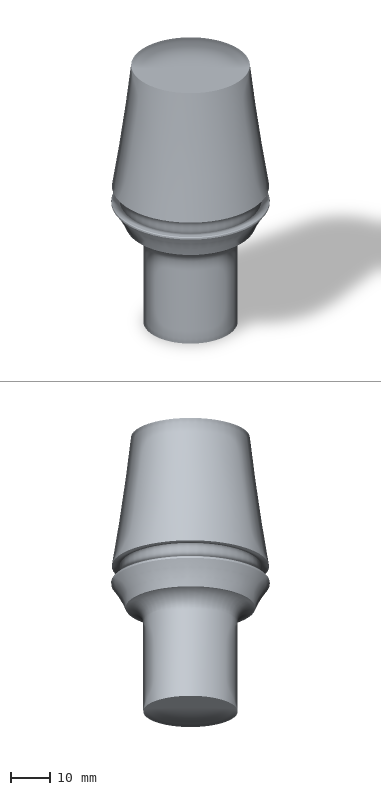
import cadquery as cq
import math

stem_radius = 24.1 / 2
fillet_radius = 4.0

shoulder_z = 28.0
rim_bottom_z = 34.4
collar_top_z = 35.0
head_bottom_z = 39.2
head_top_z = 74.0

shoulder_radius = 16.55
rim_radius = 40.45 / 2
rim_rounding = 0.2

groove_radius = 36.2 / 2
head_bottom_radius = 20.05
head_top_radius = 15.15

flare_bow = 0.28
head_bow = 0.25


def bowed_midpoint(upper, lower, bow):
    """Middle of the arc that dips from the chord between two points towards the axis."""
    run = upper[0] - lower[0]
    rise = upper[1] - lower[1]
    chord = math.hypot(run, rise)
    mid_radius = (upper[0] + lower[0]) / 2 - bow * rise / chord
    mid_z = (upper[1] + lower[1]) / 2 + bow * run / chord
    return mid_radius, mid_z


def quarter_arc_inset(radius):
    """Distance from a square corner to its rounding's middle, along either side."""
    return radius * (1 - math.sqrt(0.5))


def half_profile():
    """Closed radius-height outline on one side of the axis, drawn from the top down."""
    head_top = (head_top_radius, head_top_z)
    head_bottom = (head_bottom_radius, head_bottom_z)
    flare_top = (rim_radius, rim_bottom_z)
    flare_bottom = (shoulder_radius, shoulder_z)

    rim_inset = quarter_arc_inset(rim_rounding)
    rim_arc_middle = (rim_radius - rim_inset, collar_top_z - rim_inset)
    fillet_inset = quarter_arc_inset(fillet_radius)
    fillet_middle = (stem_radius + fillet_inset, shoulder_z - fillet_inset)

    return (
        cq.Workplane("XZ")
        .moveTo(0, head_top_z)
        .lineTo(*head_top)
        .threePointArc(bowed_midpoint(head_top, head_bottom, head_bow), head_bottom)
        .lineTo(groove_radius, head_bottom_z)
        .lineTo(groove_radius, collar_top_z)
        .lineTo(rim_radius - rim_rounding, collar_top_z)
        .threePointArc(rim_arc_middle, (rim_radius, collar_top_z - rim_rounding))
        .lineTo(*flare_top)
        .threePointArc(bowed_midpoint(flare_top, flare_bottom, flare_bow), flare_bottom)
        .lineTo(stem_radius + fillet_radius, shoulder_z)
        .threePointArc(fillet_middle, (stem_radius, shoulder_z - fillet_radius))
        .lineTo(stem_radius, 0)
        .lineTo(0, 0)
        .close()
    )


result = half_profile().revolve(360, (0, 0, 0), (0, 1, 0))